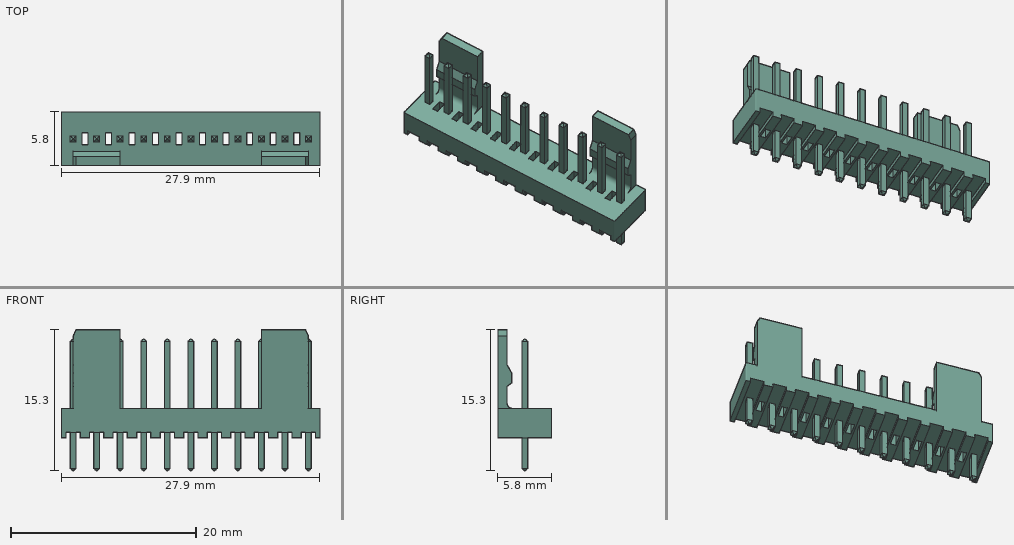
import cadquery as cq

LENGTH = 27.95
PIN_COUNT = 11
PITCH = LENGTH / PIN_COUNT

BODY_DEPTH = 5.8
BODY_HEIGHT = 3.19
CORNER_RADIUS = 0.08
FRONT_Y = -BODY_DEPTH / 2

NOTCH_WIDTH = 1.5
NOTCH_HEIGHT = 0.6

SLOT_WIDTH = 0.61
SLOT_DEPTH = 1.29

PIN_SIZE = 0.65
PIN_ABOVE = 7.5
PIN_BELOW = 3.58
TAPER_HEIGHT = 0.28
TIP_SIZE = 0.08

TOWER_WIDTH = 2 * PITCH
TOWER_THICKNESS = 1.0
TOWER_HEIGHT = 8.5
ROOT_RADIUS = 0.55
LATCH_PROJECTION = 0.5
LATCH_BOTTOM = 2.37
LATCH_FACE_BOTTOM = 2.75
LATCH_FACE_TOP = 3.8
LATCH_TOP = 4.7
TOWER_CHAMFER_WIDTH = 0.3
TOWER_CHAMFER_HEIGHT = 0.67

PIN_POSITIONS = [((i - (PIN_COUNT - 1) / 2) * PITCH, 0) for i in range(PIN_COUNT)]
SLOT_POSITIONS = [(x + PITCH / 2, y) for x, y in PIN_POSITIONS[:-1]]


def make_body():
    """Housing block with bottom notches and through slots."""
    body = (
        cq.Workplane("XY")
        .box(LENGTH, BODY_DEPTH, BODY_HEIGHT, centered=(True, True, False))
        .edges("|Z")
        .fillet(CORNER_RADIUS)
    )
    notches = (
        cq.Workplane("XY")
        .pushPoints(PIN_POSITIONS)
        .rect(NOTCH_WIDTH, BODY_DEPTH)
        .extrude(NOTCH_HEIGHT)
    )
    slots = (
        cq.Workplane("XY")
        .pushPoints(SLOT_POSITIONS)
        .rect(SLOT_WIDTH, SLOT_DEPTH)
        .extrude(BODY_HEIGHT)
    )
    return body.cut(notches).cut(slots)


def make_pin():
    """Square pin on the Z axis, tapered at both ends."""
    bottom = -PIN_BELOW
    top = BODY_HEIGHT + PIN_ABOVE
    shank_bottom = bottom + TAPER_HEIGHT
    shank_top = top - TAPER_HEIGHT
    shank = (
        cq.Workplane("XY", origin=(0, 0, shank_bottom))
        .rect(PIN_SIZE, PIN_SIZE)
        .extrude(shank_top - shank_bottom)
    )
    for shank_end, tip in ((shank_bottom, bottom), (shank_top, top)):
        taper = (
            cq.Workplane("XY", origin=(0, 0, shank_end))
            .rect(PIN_SIZE, PIN_SIZE)
            .workplane(offset=tip - shank_end)
            .rect(TIP_SIZE, TIP_SIZE)
            .loft(ruled=True)
        )
        shank = shank.union(taper)
    return shank


def make_left_tower():
    """Latch tower from the first pin to the third, chamfered at its outer top corner."""
    outer_x = PIN_POSITIONS[0][0]
    inner_y = FRONT_Y + TOWER_THICKNESS
    latch_y = inner_y + LATCH_PROJECTION
    tower = (
        cq.Workplane("YZ", origin=(outer_x, 0, BODY_HEIGHT))
        .moveTo(FRONT_Y, 0)
        .lineTo(FRONT_Y, TOWER_HEIGHT)
        .lineTo(inner_y, TOWER_HEIGHT)
        .lineTo(inner_y, LATCH_TOP)
        .lineTo(latch_y, LATCH_FACE_TOP)
        .lineTo(latch_y, LATCH_FACE_BOTTOM)
        .lineTo(inner_y, LATCH_BOTTOM)
        .lineTo(inner_y, ROOT_RADIUS)
        .radiusArc((inner_y + ROOT_RADIUS, 0), -ROOT_RADIUS)
        .close()
        .extrude(TOWER_WIDTH)
    )
    top_z = BODY_HEIGHT + TOWER_HEIGHT
    corner = (
        cq.Workplane("XZ", origin=(0, FRONT_Y, 0))
        .moveTo(outer_x, top_z)
        .lineTo(outer_x + TOWER_CHAMFER_WIDTH, top_z)
        .lineTo(outer_x, top_z - TOWER_CHAMFER_HEIGHT)
        .close()
        .extrude(-TOWER_THICKNESS)
    )
    return tower.cut(corner)


left_tower = make_left_tower()
result = make_body().union(left_tower).union(left_tower.mirror("YZ"))
pin = make_pin()
for pin_x, pin_y in PIN_POSITIONS:
    result = result.union(pin.translate((pin_x, pin_y, 0)))